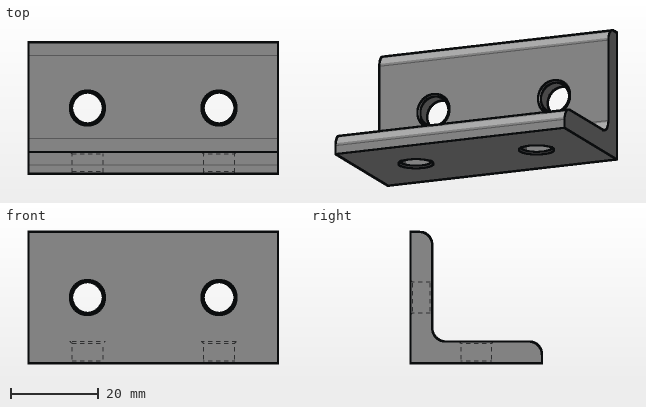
import cadquery as cq

length = 57.0
leg = 30.0
thickness = 5.0
inner_radius = 3.0
toe_radius = 3.0

hole_diameter = 7.0
hole_chamfer = 0.5
hole_pitch = 30.0
first_hole_x = 13.5
hole_offset = leg / 2
hole_xs = [first_hole_x, first_hole_x + hole_pitch]


def angle_profile():
    """L section in the YZ plane, outer corner at the origin, rounded toes and root."""
    toe_start = thickness - toe_radius
    root_end = thickness + inner_radius
    return (
        cq.Workplane("YZ")
        .moveTo(0, 0)
        .lineTo(leg, 0)
        .lineTo(leg, toe_start)
        .radiusArc((leg - toe_radius, thickness), -toe_radius)
        .lineTo(root_end, thickness)
        .radiusArc((thickness, root_end), inner_radius)
        .lineTo(thickness, leg - toe_radius)
        .radiusArc((toe_start, leg), -toe_radius)
        .lineTo(0, leg)
        .close()
    )


def hole_cutter():
    """Hole through one leg, starting at the origin along +Z, chamfered at both ends."""
    bore_radius = hole_diameter / 2
    mouth_radius = bore_radius + hole_chamfer
    return (
        cq.Workplane("XZ")
        .moveTo(0, 0)
        .lineTo(mouth_radius, 0)
        .lineTo(bore_radius, hole_chamfer)
        .lineTo(bore_radius, thickness - hole_chamfer)
        .lineTo(mouth_radius, thickness)
        .lineTo(0, thickness)
        .close()
        .revolve(360, (0, 0, 0), (0, 1, 0))
    )


bracket = angle_profile().extrude(length)

horizontal_leg_hole = hole_cutter()
vertical_leg_hole = hole_cutter().rotate((0, 0, 0), (1, 0, 0), -90)
for x in hole_xs:
    bracket = bracket.cut(horizontal_leg_hole.translate((x, hole_offset, 0)))
    bracket = bracket.cut(vertical_leg_hole.translate((x, 0, hole_offset)))

result = bracket